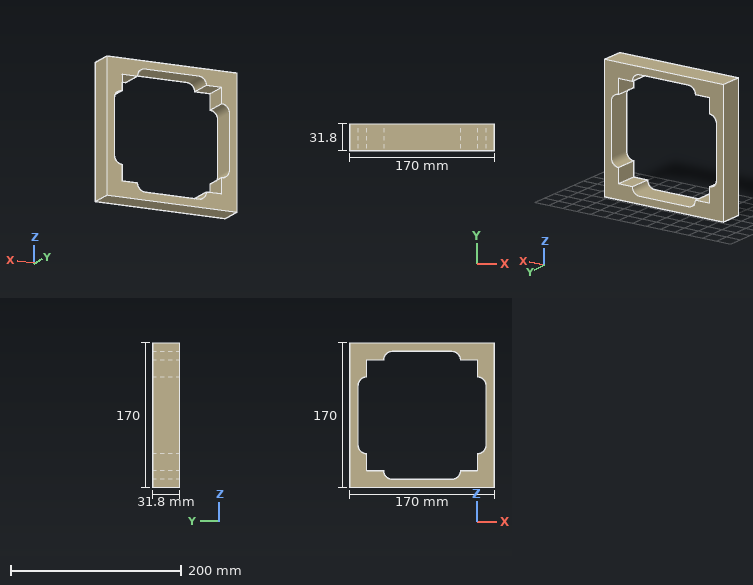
import cadquery as cq

outer_side = 170.0
depth = 31.75
thin_wall = 10.0
corner_wall = 20.0
relief_width = 90.0

corner_opening = outer_side - 2 * corner_wall
relief_span = outer_side - 2 * thin_wall
relief_radius = corner_wall - thin_wall


def centred_block(size_x, size_z):
    """Block of the frame's full thickness, centred on the origin."""
    return cq.Workplane("XY").box(size_x, depth, size_z)


def relief_block(size_x, size_z):
    """Block with its four edges along Y rounded, reaching into two opposite sides."""
    return centred_block(size_x, size_z).edges("|Y").fillet(relief_radius)


def opening():
    """Square window widened by a round-cornered recess in each side."""
    window = centred_block(corner_opening, corner_opening)
    upright_relief = relief_block(relief_width, relief_span)
    level_relief = relief_block(relief_span, relief_width)
    return window.union(upright_relief).union(level_relief)


result = centred_block(outer_side, outer_side).cut(opening())